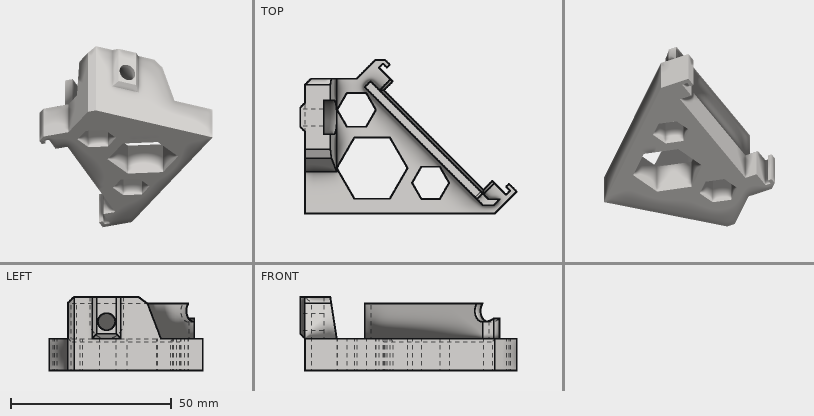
import cadquery as cq
import math


base_height = 10.0
base_back = 42.0
base_top_y = 47.85
diagonal_face = 48.4
upper_end = -18.3
lower_end = 41.8

recess_center = 12.1
hook_outer = 51.4
hook_inner = 50.15
hook_slot_reach = 28.0
hook_tip_reach = 26.2
recess_floor = 43.55
recess_half_length = 22.85
recess_bevel = 0.95

hexagons = [(16.05, 32.3, 6.0), (20.9, 14.15, 11.0), (39.1, 9.6, 5.7)]

wall_height = 23.0
wall_top_thickness = 7.9
wall_foot_thickness = 9.9
wall_foot_y = 13.1
wall_knee_y = 17.25
wall_knee_z = 20.9
wall_top_y = 20.1
wall_corner = 1.9

pad_depth = 1.5
pad_width = 8.95
bolt_y = 30.0
bolt_z = 15.2
bolt_diameter = 5.3
nut_slot_x = 5.85
nut_slot_radius = bolt_z - base_height

fence_top = 20.9
fence_inner = 41.0
fence_start = -14.7
fence_end = 39.7
fence_front_y = 2.6
notch_u = 37.2
notch_radius = 3.45
notch_z = 18.6

root2 = math.sqrt(2)


def diagonal_point(u, v):
    return ((u + v) / root2, (v - u) / root2)


def make_base():
    slot_upper = recess_center - hook_slot_reach
    slot_lower = recess_center + hook_slot_reach
    tip_upper = recess_center - hook_tip_reach
    tip_lower = recess_center + hook_tip_reach
    outline = [
        (0, 0),
        (lower_end * root2, 0),
        diagonal_point(lower_end, hook_outer),
        diagonal_point(tip_lower, hook_outer),
        diagonal_point(tip_lower, hook_inner),
        diagonal_point(slot_lower, hook_inner),
        diagonal_point(slot_lower, diagonal_face),
        diagonal_point(slot_upper, diagonal_face),
        diagonal_point(slot_upper, hook_inner),
        diagonal_point(tip_upper, hook_inner),
        diagonal_point(tip_upper, hook_outer),
        (hook_outer * root2 - base_top_y, base_top_y),
        (upper_end * root2 + base_top_y, base_top_y),
        (upper_end * root2 + base_back, base_back),
        (0, base_back),
    ]
    return cq.Workplane("XY").polyline(outline).close().extrude(base_height)


def recess_outline(inset):
    """Rectangle of the recess, drawn in from its floor and both ends by inset."""
    start = recess_center - recess_half_length + inset
    end = recess_center + recess_half_length - inset
    floor = recess_floor + inset
    return [
        diagonal_point(start, floor),
        diagonal_point(end, floor),
        diagonal_point(end, hook_outer),
        diagonal_point(start, hook_outer),
    ]


def make_recess():
    straight = cq.Workplane("XY").polyline(recess_outline(recess_bevel)).close().extrude(base_height)
    bevel = (
        cq.Workplane("XY", origin=(0, 0, base_height - recess_bevel))
        .polyline(recess_outline(recess_bevel))
        .close()
        .workplane(offset=recess_bevel)
        .polyline(recess_outline(0))
        .close()
        .loft(ruled=True)
    )
    return straight.union(bevel)


def make_windows():
    windows = cq.Workplane("XY")
    for x, y, radius in hexagons:
        window = cq.Workplane("XY").center(x, y).polygon(6, 2 * radius).extrude(base_height)
        windows = windows.union(window)
    return windows


def make_wall():
    side = [
        (wall_foot_y, base_height),
        (wall_knee_y, wall_knee_z),
        (wall_top_y, wall_height),
        (base_back - wall_corner, wall_height),
        (base_back, wall_height - wall_corner),
        (base_back, base_height),
    ]
    section = [
        (0, base_height),
        (0, wall_height),
        (wall_top_thickness, wall_height),
        (wall_foot_thickness, base_height),
    ]
    wall = cq.Workplane("YZ").polyline(side).close().extrude(wall_foot_thickness)
    taper = cq.Workplane("XZ").polyline(section).close().extrude(-base_back)
    return wall.intersect(taper)


def make_corner_cut():
    corner = [(0, base_back), (wall_corner, base_back), (0, base_back - wall_corner)]
    return cq.Workplane("XY").polyline(corner).close().extrude(wall_height)


def make_pad():
    """Pad on the outer wall face, bevelled at 45 degrees on its sides and lower end."""
    half_width = pad_width / 2
    plan = [
        (0, bolt_y - half_width),
        (0, bolt_y + half_width),
        (-pad_depth, bolt_y + half_width - pad_depth),
        (-pad_depth, bolt_y - half_width + pad_depth),
    ]
    profile = [
        (0, base_height),
        (0, wall_height),
        (-pad_depth, wall_height),
        (-pad_depth, base_height + pad_depth),
    ]
    pad = cq.Workplane("XY").polyline(plan).close().extrude(wall_height)
    return pad.intersect(cq.Workplane("XZ").polyline(profile).close().extrude(-base_back))


def make_bolt_cut():
    """Bolt hole through the wall, with a round-bottomed nut slot open at the top."""
    hole = (
        cq.Workplane("YZ", origin=(-pad_depth, bolt_y, bolt_z))
        .circle(bolt_diameter / 2)
        .extrude(pad_depth + wall_foot_thickness)
    )
    slot = (
        cq.Workplane("YZ", origin=(nut_slot_x, bolt_y, bolt_z))
        .moveTo(-nut_slot_radius, 0)
        .threePointArc((0, -nut_slot_radius), (nut_slot_radius, 0))
        .lineTo(nut_slot_radius, wall_height - bolt_z)
        .lineTo(-nut_slot_radius, wall_height - bolt_z)
        .close()
        .extrude(wall_foot_thickness - nut_slot_x)
    )
    return hole.union(slot)


def make_fence():
    """Thin diagonal fence whose lower end bends to run along X, with a round notch at the bend."""
    thickness = recess_floor - fence_inner
    back_y = fence_front_y + thickness / root2
    outline = [
        diagonal_point(fence_start, fence_inner),
        (fence_inner * root2 - fence_front_y, fence_front_y),
        (fence_end * root2 + fence_front_y, fence_front_y),
        (fence_end * root2 + back_y, back_y),
        (recess_floor * root2 - back_y, back_y),
        diagonal_point(fence_start, recess_floor),
    ]
    fence = (
        cq.Workplane("XY", origin=(0, 0, base_height))
        .polyline(outline)
        .close()
        .extrude(fence_top - base_height)
    )
    across = cq.Plane(
        origin=(*diagonal_point(notch_u, 0), notch_z), xDir=(1, -1, 0), normal=(1, 1, 0)
    )
    notch = cq.Workplane(across).circle(notch_radius).extrude(hook_outer)
    return fence.cut(notch)


result = (
    make_base()
    .cut(make_recess())
    .cut(make_windows())
    .union(make_wall())
    .cut(make_corner_cut())
    .union(make_pad())
    .cut(make_bolt_cut())
    .union(make_fence())
)